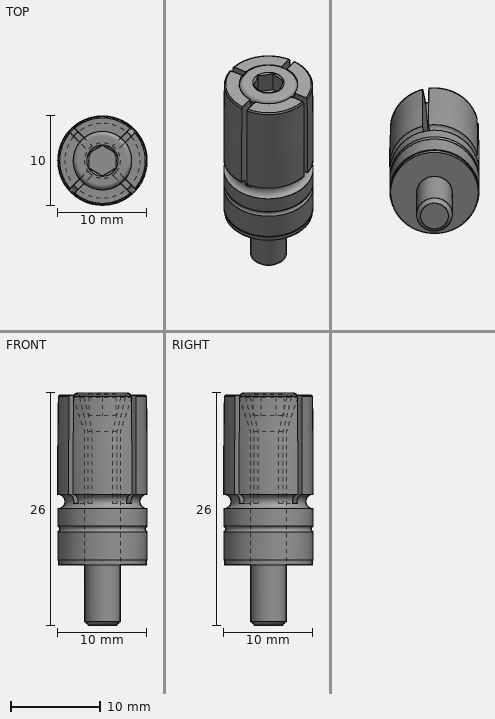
import cadquery as cq
import math

total_height = 26.0
housing_bottom = 6.75
housing_top = 25.77
shoulder_top = 7.33
small_groove_bottom = 10.45
small_groove_top = 11.1
large_groove_bottom = 13.05
large_groove_top = 14.66
slot_bottom = 13.65
taper_start = 20.02
cone_bottom = 21.68

body_radius = 5.005
shoulder_radius = 4.91
taper_end_radius = 4.95
top_chamfer = 0.15
large_groove_depth = 0.8
small_groove_depth = 0.2
slot_width = 0.7
slot_count = 4
first_slot_angle = 45.0

shank_radius = 2.0
head_radius = 3.28
head_edge_radius = 0.52
tip_chamfer = 0.45
hex_across_flats = 3.0
hex_depth = 2.5
hex_corner_radius = hex_across_flats / math.sqrt(3)
lead_in_radius = hex_corner_radius + 0.03
lead_in_half_angle = 60.0

cone_top = total_height - head_edge_radius


def make_screw_blank():
    """Screw with a conical head, rounded top edge and chamfered tip."""
    arc_offset = head_edge_radius / math.sqrt(2)
    flat_radius = head_radius - head_edge_radius
    return (
        cq.Workplane("XZ")
        .lineTo(shank_radius - tip_chamfer, 0)
        .lineTo(shank_radius, tip_chamfer)
        .lineTo(shank_radius, cone_bottom)
        .lineTo(head_radius, cone_top)
        .threePointArc(
            (flat_radius + arc_offset, cone_top + arc_offset),
            (flat_radius, total_height),
        )
        .lineTo(0, total_height)
        .close()
        .revolve(360, (0, 0), (0, 1))
    )


def make_hex_socket():
    """Hexagonal recess with corners on the Y axis and a conical lead-in."""
    hexagon = (
        cq.Workplane("XY", origin=(0, 0, total_height - hex_depth))
        .polygon(6, 2 * hex_corner_radius)
        .extrude(hex_depth)
        .rotate((0, 0, 0), (0, 0, 1), 90)
    )
    lead_in_depth = lead_in_radius / math.tan(math.radians(lead_in_half_angle))
    lead_in = (
        cq.Workplane("XZ", origin=(0, 0, total_height))
        .lineTo(lead_in_radius, 0)
        .lineTo(0, -lead_in_depth)
        .close()
        .revolve(360, (0, 0), (0, 1))
    )
    return hexagon.union(lead_in)


def make_housing_blank():
    """Turned outside shape with two round grooves and a slightly tapered upper end."""
    small_groove_middle = (small_groove_bottom + small_groove_top) / 2
    large_groove_middle = (large_groove_bottom + large_groove_top) / 2
    return (
        cq.Workplane("XZ")
        .moveTo(0, housing_bottom)
        .lineTo(shoulder_radius, housing_bottom)
        .lineTo(shoulder_radius, shoulder_top)
        .lineTo(body_radius, shoulder_top)
        .lineTo(body_radius, small_groove_bottom)
        .threePointArc(
            (body_radius - small_groove_depth, small_groove_middle),
            (body_radius, small_groove_top),
        )
        .lineTo(body_radius, large_groove_bottom)
        .threePointArc(
            (body_radius - large_groove_depth, large_groove_middle),
            (body_radius, large_groove_top),
        )
        .lineTo(body_radius, taper_start)
        .lineTo(taper_end_radius, housing_top - top_chamfer)
        .lineTo(taper_end_radius - top_chamfer, housing_top)
        .lineTo(0, housing_top)
        .close()
        .revolve(360, (0, 0), (0, 1))
    )


def make_slot(angle):
    """Radial slot from the axis outwards, open at the top of the housing."""
    return (
        cq.Workplane("XY", origin=(0, 0, slot_bottom))
        .rect(body_radius, slot_width)
        .extrude(housing_top - slot_bottom)
        .translate((body_radius / 2, 0, 0))
        .rotate((0, 0, 0), (0, 0, 1), angle)
    )


screw_blank = make_screw_blank()
bore_mouth = (
    cq.Workplane("XY", origin=(0, 0, cone_top))
    .circle(head_radius)
    .extrude(total_height - cone_top)
)
housing = make_housing_blank().cut(screw_blank).cut(bore_mouth)
for index in range(slot_count):
    housing = housing.cut(make_slot(first_slot_angle + index * 360 / slot_count))

screw = screw_blank.cut(make_hex_socket())

result = cq.Compound.makeCompound([housing.val(), screw.val()])